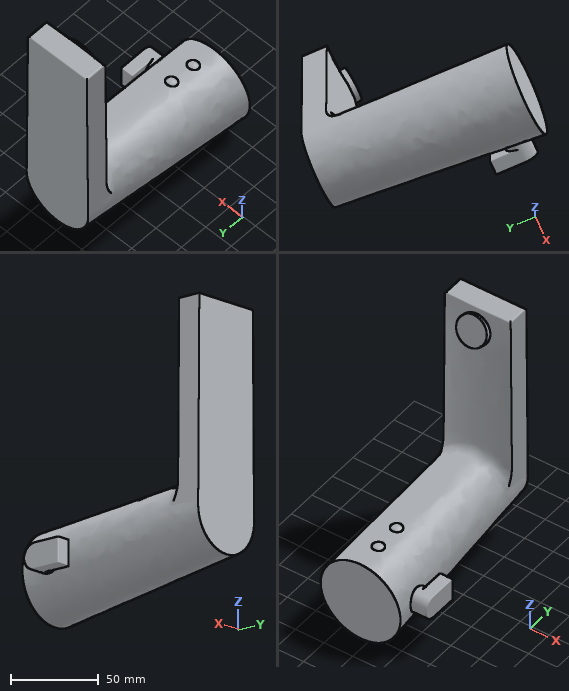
import cadquery as cq
import math

depth = 129.9
height = 168.5

front_radius = 28.0
back_radius = 24.1
back_bottom = 18.2
front_axis_z = front_radius
back_axis_z = back_bottom + back_radius

arm_top_half_width = 23.0
slab_front_y = 114.4
crown_y = 109.5
brow_z = 144.7
top_crown = 0.2
edge_round = 1.2
neck_fillet = 10.1
neck_search_x = 16.8

outlet_diameter = 21.0
outlet_tilt = 15.0
outlet_face_y = 108.3
outlet_face_z = 155.0
outlet_length = 6.7

lever_diameter = 16.0
lever_y = 18.4
lever_z = 30.7
lever_end_x = 38.5
paddle_width = 9.3
paddle_back_y = 36.7
paddle_round = 0.7
socket_depth = 6.7

button_diameter = 7.2
button_height = 1.3
button_places = [17.7, 35.5]


def axis_z(y):
    """Height of the base axis at depth y."""
    return front_axis_z + (back_axis_z - front_axis_z) * y / depth


def base_radius(y):
    """Radius of the base at depth y."""
    return front_radius + (back_radius - front_radius) * y / depth


def make_base():
    front = cq.Wire.makeCircle(front_radius, cq.Vector(0, 0, front_axis_z), cq.Vector(0, 1, 0))
    back = cq.Wire.makeCircle(back_radius, cq.Vector(0, depth, back_axis_z), cq.Vector(0, 1, 0))
    return cq.Workplane(cq.Solid.makeLoft([front, back], True))


def arm_half_width(z):
    """The arm narrows evenly from the base axis to its top."""
    share = (z - back_axis_z) / (height - back_axis_z)
    return back_radius + (arm_top_half_width - back_radius) * share


def arm_section(z, front_y):
    """Outline of the arm at height z, with its front bowed out to front_y."""
    half = arm_half_width(z)
    return (
        cq.Workplane("XY", origin=(0, 0, z))
        .moveTo(-half, depth)
        .lineTo(-half, slab_front_y)
        .threePointArc((0, front_y), (half, slab_front_y))
        .lineTo(half, depth)
        .close()
        .wire()
        .val()
    )


def make_arm():
    shaft = cq.Solid.makeLoft([arm_section(back_axis_z, crown_y), arm_section(brow_z, crown_y)], True)
    flat_front = slab_front_y - top_crown
    brow = cq.Solid.makeLoft([arm_section(brow_z, crown_y), arm_section(height, flat_front)], True)
    return cq.Workplane(shaft).union(cq.Workplane(brow)).faces(">Z").edges().fillet(edge_round)


def make_button(y):
    """Spherical cap standing on the top line of the base."""
    sphere_radius = (button_diameter**2 / 4 + button_height**2) / (2 * button_height)
    surface_z = axis_z(y) + base_radius(y)
    return cq.Workplane("XY").sphere(sphere_radius).translate((0, y, surface_z + button_height - sphere_radius))


def make_outlet():
    tilt = math.radians(outlet_tilt)
    inward = cq.Vector(0, math.cos(tilt), -math.sin(tilt))
    face_center = cq.Vector(0, outlet_face_y, outlet_face_z)
    return cq.Workplane(cq.Solid.makeCylinder(outlet_diameter / 2, outlet_length, face_center, inward))


def make_lever():
    radius = lever_diameter / 2
    stub_start_x = front_radius - socket_depth
    paddle_start_x = lever_end_x - paddle_width
    stub = (
        cq.Workplane("YZ", origin=(stub_start_x, 0, 0))
        .center(lever_y, lever_z)
        .circle(radius)
        .extrude(paddle_start_x + paddle_width / 2 - stub_start_x)
    )
    paddle = (
        cq.Workplane("YZ", origin=(paddle_start_x, 0, 0))
        .moveTo(paddle_back_y, lever_z + radius)
        .lineTo(lever_y, lever_z + radius)
        .threePointArc((lever_y - radius, lever_z), (lever_y, lever_z - radius))
        .lineTo(paddle_back_y, lever_z - radius)
        .close()
        .extrude(paddle_width)
        .faces(">Y or >X or <X")
        .edges()
        .fillet(paddle_round)
    )
    return stub.union(paddle)


def make_housing(outlet, lever):
    housing = make_base().union(make_arm())
    crown_top_z = axis_z(crown_y) + base_radius(crown_y)
    near_neck = cq.selectors.BoxSelector(
        (-neck_search_x, crown_y - 1.7, back_axis_z + 1.7),
        (neck_search_x, slab_front_y, crown_top_z + 1.7),
    )
    housing = housing.edges(near_neck).fillet(neck_fillet)
    for y in button_places:
        housing = housing.union(make_button(y))
    return housing.cut(outlet).cut(lever)


outlet = make_outlet()
lever = make_lever()
housing = make_housing(outlet, lever)

result = cq.Compound.makeCompound([housing.val(), outlet.val(), lever.val()])